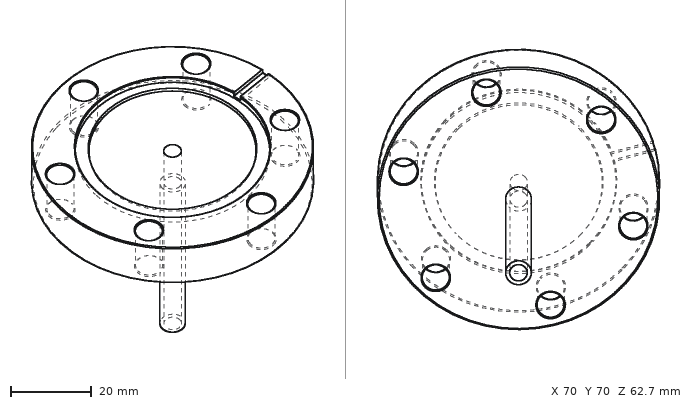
import cadquery as cq
import math

FLANGE_RADIUS = 35.0
FLANGE_THICKNESS = 12.7
TOTAL_HEIGHT = 62.7
TOP_CHAMFER = 0.3
BOTTOM_CHAMFER = 0.4

RECESS_RADIUS = 24.15
RECESS_CHAMFER = 0.2
KNIFE_RADIUS = 20.9
KNIFE_TIP_DEPTH = 0.6
KNIFE_ANGLE = 20.0
FLOOR_RADIUS = 20.7
FLOOR_DEPTH = 1.4
GROOVE_DEPTH = KNIFE_TIP_DEPTH + (RECESS_RADIUS - KNIFE_RADIUS) * math.tan(math.radians(KNIFE_ANGLE))

BOLT_COUNT = 6
BOLT_CIRCLE_RADIUS = 29.4
BOLT_HOLE_DIAMETER = 6.7
BOLT_HOLE_CHAMFER = 0.3
FIRST_BOLT_ANGLE = 30.7
SLOT_ANGLE = FIRST_BOLT_ANGLE + 1.5 * 360 / BOLT_COUNT
SLOT_WIDTH = 2.1
SLOT_DEPTH = 1.25
SLOT_OVERLAP = 0.35

TUBE_OUTER_DIAMETER = 6.4
TUBE_BORE_DIAMETER = 4.35


def make_flange_blank():
    """Revolved disc with chamfered rims, a sealing groove and a knife edge."""
    profile = [
        (0, -FLANGE_THICKNESS),
        (FLANGE_RADIUS - BOTTOM_CHAMFER, -FLANGE_THICKNESS),
        (FLANGE_RADIUS, -FLANGE_THICKNESS + BOTTOM_CHAMFER),
        (FLANGE_RADIUS, -TOP_CHAMFER),
        (FLANGE_RADIUS - TOP_CHAMFER, 0),
        (RECESS_RADIUS + RECESS_CHAMFER, 0),
        (RECESS_RADIUS, -RECESS_CHAMFER),
        (RECESS_RADIUS, -GROOVE_DEPTH),
        (KNIFE_RADIUS, -KNIFE_TIP_DEPTH),
        (FLOOR_RADIUS, -FLOOR_DEPTH),
        (0, -FLOOR_DEPTH),
    ]
    return cq.Workplane("XZ").polyline(profile).close().revolve(360, (0, 0), (0, 1))


def make_bolt_holes():
    """Through holes on the bolt circle, chamfered at both faces."""
    hole_radius = BOLT_HOLE_DIAMETER / 2
    mouth_radius = hole_radius + BOLT_HOLE_CHAMFER
    profile = [
        (0, 0),
        (mouth_radius, 0),
        (hole_radius, -BOLT_HOLE_CHAMFER),
        (hole_radius, -FLANGE_THICKNESS + BOLT_HOLE_CHAMFER),
        (mouth_radius, -FLANGE_THICKNESS),
        (0, -FLANGE_THICKNESS),
    ]
    hole = cq.Workplane("XZ").polyline(profile).close().revolve(360, (0, 0), (0, 1)).val()
    return (
        cq.Workplane("XY")
        .polarArray(BOLT_CIRCLE_RADIUS, FIRST_BOLT_ANGLE, 360, BOLT_COUNT)
        .eachpoint(lambda location: hole.moved(location))
    )


def make_slot():
    """Radial leak-check slot from the recess out through the rim."""
    inner_radius = RECESS_RADIUS - SLOT_OVERLAP
    length = FLANGE_RADIUS - inner_radius
    return (
        cq.Workplane("XY")
        .center(inner_radius + length / 2, 0)
        .rect(length, SLOT_WIDTH)
        .extrude(-SLOT_DEPTH)
        .rotate((0, 0, 0), (0, 0, 1), SLOT_ANGLE)
    )


def make_flange():
    """Flange with its bolt holes, slot and a central bore that continues into the tube."""
    bore = cq.Workplane("XY").circle(TUBE_BORE_DIAMETER / 2).extrude(-FLANGE_THICKNESS)
    return make_flange_blank().cut(make_bolt_holes()).cut(make_slot()).cut(bore)


def make_tube():
    """Open tube butted against the underside of the flange."""
    return (
        cq.Workplane("XY", origin=(0, 0, -TOTAL_HEIGHT))
        .circle(TUBE_OUTER_DIAMETER / 2)
        .circle(TUBE_BORE_DIAMETER / 2)
        .extrude(TOTAL_HEIGHT - FLANGE_THICKNESS)
    )


flange = make_flange()
tube = make_tube()

result = cq.Compound.makeCompound([flange.val(), tube.val()])